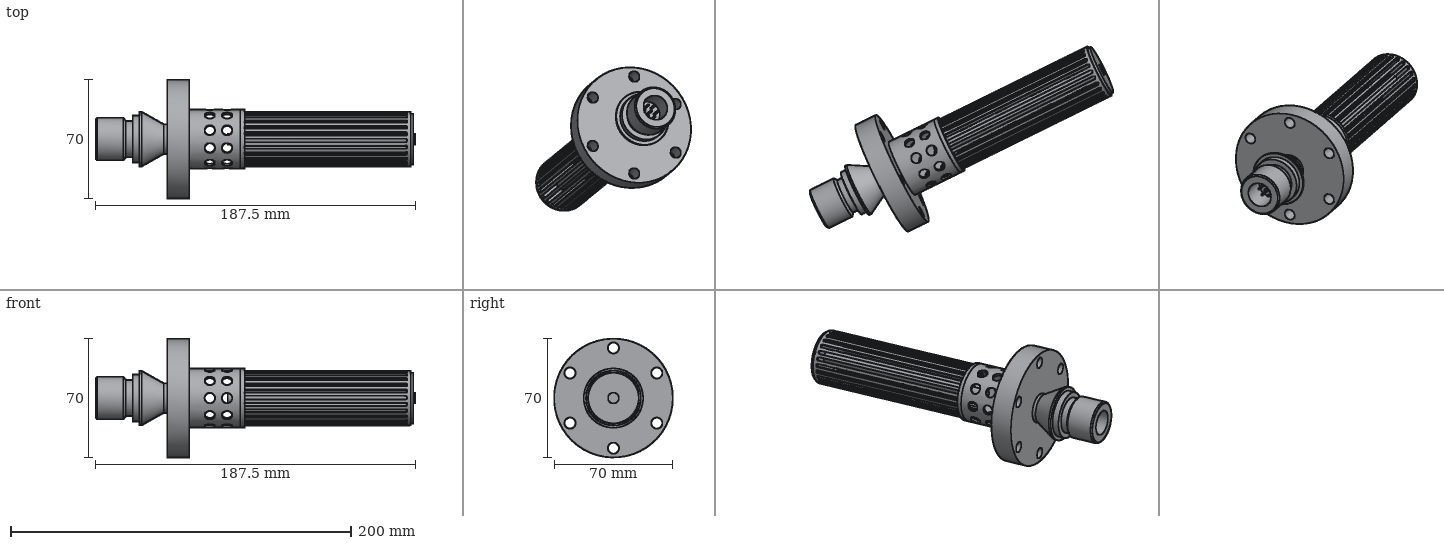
import cadquery as cq

connector_radius = 12.5
connector_chamfer = 0.85
connector_end = 16.1
neck_start = 17.6
neck_radius = 10.7
collar_start = 21.5
collar_radius = 13.9
rim_start = 25.5
rim_end = 26.8
rim_radius = 16.1
cone_end = 39.8
stem_radius = 8.8

socket_radius = 7.3
socket_depth = 15.0
contact_radius = 0.47
contact_length = 7.5
contact_circle_radius = 4.0
outer_contact_count = 6

flange_start = 41.8
flange_thickness = 13.1
flange_end = flange_start + flange_thickness
flange_diameter = 70.0
flange_radius = flange_diameter / 2
bolt_circle_radius = 29.5
bolt_hole_radius = 3.2
bolt_hole_count = 6

tube_radius = 17.5
tube_wall = 1.5
tube_end = 85.0
vent_radius = 3.0
vent_count = 10
first_vent_row = 67.0
vent_row_spacing = 10.1
vent_rows = [first_vent_row, first_vent_row + vent_row_spacing]

ring_length = 2.5
ring_end = tube_end + ring_length
sleeve_radius = 16.1
sleeve_wall = 1.3
sleeve_bore_radius = sleeve_radius - sleeve_wall
sleeve_end = 184.9
slot_count = 25
slot_width = 2.0
slot_tip = 182.8
slot_turn = -0.7

cap_radius = 15.0
cap_end = 186.5

rod_start = 77.5
rod_end = 187.5
rod_radius = 3.2


def cylinder(start, end, radius):
    """Cylinder on the X axis between two stations."""
    return cq.Workplane("YZ", origin=(start, 0, 0)).circle(radius).extrude(end - start)


def repeat_around_axis(shape, count, first_angle=0):
    """Copies of a solid spread evenly around the X axis, as one compound."""
    step = 360 / count
    angles = [first_angle + index * step for index in range(count)]
    copies = [shape.val().rotate((0, 0, 0), (1, 0, 0), angle) for angle in angles]
    return cq.Workplane(cq.Compound.makeCompound(copies))


def housing_blank():
    """Turned connector, flange and solid tube."""
    profile = [
        (0, 0),
        (0, connector_radius - connector_chamfer),
        (connector_chamfer, connector_radius),
        (connector_end, connector_radius),
        (neck_start, neck_radius),
        (collar_start, neck_radius),
        (collar_start, collar_radius),
        (rim_start, collar_radius),
        (rim_start, rim_radius),
        (rim_end, rim_radius),
        (cone_end, stem_radius),
        (flange_start, stem_radius),
        (flange_start, flange_radius),
        (flange_end, flange_radius),
        (flange_end, tube_radius),
        (tube_end, tube_radius),
        (tube_end, 0),
    ]
    return cq.Workplane("XY").polyline(profile).close().revolve(360, (0, 0, 0), (1, 0, 0))


def bolt_holes():
    """Holes through the flange, the first one at the top."""
    start = cq.Workplane("YZ", origin=(flange_start, 0, bolt_circle_radius))
    hole = start.circle(bolt_hole_radius).extrude(flange_thickness)
    return repeat_around_axis(hole, bolt_hole_count)


def vent_row(station):
    """A row of radial holes through the tube wall, the first one facing -Y."""
    hole = cq.Workplane("XZ", origin=(station, 0, 0)).circle(vent_radius).extrude(2 * tube_radius)
    return repeat_around_axis(hole, vent_count)


def contact_pins():
    """A centre pin and a circle of pins standing on the socket floor."""
    tip = socket_depth - contact_length
    centre_pin = cylinder(tip, socket_depth, contact_radius)
    outer_pin = centre_pin.translate((0, contact_circle_radius, 0))
    return centre_pin.add(repeat_around_axis(outer_pin, outer_contact_count))


def make_housing():
    """Connector, flange and perforated tube in one piece."""
    body = housing_blank()
    body = body.cut(cylinder(flange_end, tube_end, tube_radius - tube_wall))
    body = body.cut(bolt_holes())
    for station in vent_rows:
        body = body.cut(vent_row(station))
    body = body.cut(cylinder(0, socket_depth, socket_radius))
    for pin in contact_pins().vals():
        body = body.union(cq.Workplane(pin))
    return body


def sleeve_slots():
    """Radial slots from the ring to a round tip, the first one facing almost exactly -Y."""
    half_width = slot_width / 2
    outline = (
        cq.Workplane("XZ")
        .moveTo(ring_end, -half_width)
        .lineTo(slot_tip - half_width, -half_width)
        .threePointArc((slot_tip, 0), (slot_tip - half_width, half_width))
        .lineTo(ring_end, half_width)
        .close()
    )
    return repeat_around_axis(outline.extrude(2 * sleeve_radius), slot_count, slot_turn)


def make_sleeve():
    """Slotted sleeve with a ring that butts against the tube."""
    ring = cylinder(tube_end, ring_end, tube_radius)
    barrel = cylinder(ring_end, sleeve_end, sleeve_radius)
    bore = cylinder(tube_end, sleeve_end, sleeve_bore_radius)
    body = ring.union(barrel).cut(bore)
    for slot in sleeve_slots().val().Solids():
        body = body.cut(cq.Workplane(slot))
    return body


def make_cap():
    """Disc closing the end of the sleeve, with a hole for the rod."""
    disc = cylinder(sleeve_end, cap_end, cap_radius)
    return disc.cut(cylinder(sleeve_end, cap_end, rod_radius))


def make_rod():
    """Rod on the axis, from inside the tube to just beyond the cap."""
    return cylinder(rod_start, rod_end, rod_radius)


housing = make_housing()
sleeve = make_sleeve()
cap = make_cap()
rod = make_rod()

result = cq.Compound.makeCompound([housing.val(), sleeve.val(), cap.val(), rod.val()])